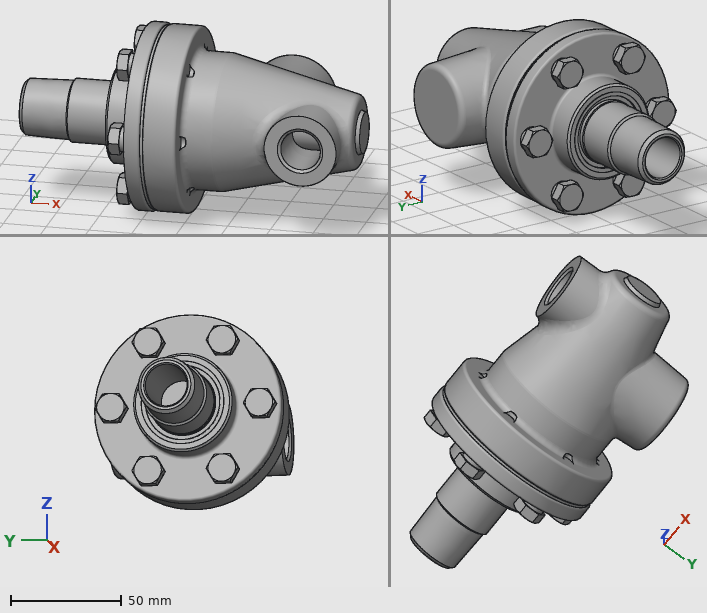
import cadquery as cq
import math


bore_radius = 19.3 / 2
bore_chamfer = 0.6
nipple_face_radius = 23.01 / 2
nipple_radius = 27.18 / 2
nipple_chamfer_length = 1.7
nipple_taper_end = 20.2
nipple_end = 22.4
pipe_taper = 1 / 32
sleeve_radius = 29.3 / 2
sleeve_start = 23.2
collar_radius = 30.12 / 2
collar_start = 42.0
collar_chamfer = collar_radius - sleeve_radius

hub_radius = 45.47 / 2
hub_start = 42.7
hub_chamfer = 1.0
hub_base_fillet = 1.4
seal_recess_radius = 34.32 / 2
seal_recess_depth = 1.8
seal_step_radius = 38.18 / 2
seal_step_depth = 0.3

flange_radius = 86.36 / 2
flange_front = 56.1
flange_rear = 63.6
flange_edge_round = 1.1
gasket_radius = 42.2
housing_flange_radius = 42.85
housing_flange_front = 64.9
housing_flange_rear = 80.4
housing_flange_edge_round = 1.4

neck_radius = 63.5 / 2
neck_fillet = 2.9
neck_end = 94.85
neck_cone_blend = 3.7
cone_slope = math.radians(13.5)
cone_end = 156.7
cone_end_round = 3.1
plug_base_radius = 10.2
plug_end_radius = 9.5
part_length = 158.6

bolt_count = 6
bolt_circle_radius = 34.29
bolt_head_across_flats = 12.7
bolt_head_start = 48.4
bolt_head_end = 53.5
bolt_head_chamfer_angle = math.radians(30)
bolt_collar_radius = 11.43 / 2
bolt_hole_radius = 6.4 / 2
bolt_hole_end = 82.4
drill_tip_angle = math.radians(118)

large_port_x = 116.0
large_port_end = 44.45
large_port_radius = 39.32 / 2
large_port_draft = math.radians(4)
large_port_end_round = 2.9
large_port_root_fillet = 2.2

small_port_x = 136.1
small_port_end = 31.75
small_port_radius = 33.6 / 2
small_port_root_fillet = 5.4
small_port_bore_radius = 17.5 / 2
small_port_rim_radius = 21.2 / 2
small_port_rim_depth = 1.0
small_port_thread_length = 16.0
inner_tube_radius = bore_radius


def turned(points):
    """Solid of revolution about X from an (x, radius) outline closed along the axis."""
    outline = [(points[0][0], 0)] + points
    if points[-1][1] > 0:
        outline.append((points[-1][0], 0))
    return cq.Workplane("XY").polyline(outline).close().revolve(360, (0, 0, 0), (1, 0, 0))


def disc(radius, start, end):
    return turned([(start, radius), (end, radius)])


def turned_about_y(points):
    """Solid of revolution about Y from a closed (radius, y) outline."""
    return cq.Workplane("XY").polyline(points).close().revolve(360, (0, 0, 0), (0, 1, 0))


def edges_at(x, radius):
    """Selector box catching only the full circle at the given x and radius about X."""
    gap = 0.05
    reach = radius + gap
    return cq.selectors.BoxSelector(
        (x - gap, -reach, -reach), (x + gap, reach, reach), boundingbox=True
    )


def make_rotor():
    chamfer_radius = nipple_radius - pipe_taper * (nipple_taper_end - nipple_chamfer_length)
    return turned([
        (0, nipple_face_radius),
        (nipple_chamfer_length, chamfer_radius),
        (nipple_taper_end, nipple_radius),
        (nipple_end, nipple_radius),
        (sleeve_start, sleeve_radius),
        (collar_start, sleeve_radius),
        (collar_start + collar_chamfer, collar_radius),
        (flange_front, collar_radius),
    ])


def make_rotor_bore():
    """Bore of the nipple, closed at the collar and chamfered at its mouth."""
    return turned([
        (0, bore_radius + bore_chamfer),
        (bore_chamfer, bore_radius),
        (collar_start, bore_radius),
    ])


def make_front_flange():
    plate = disc(flange_radius, flange_front, flange_rear).edges().fillet(flange_edge_round)
    hub = disc(hub_radius, hub_start, flange_front).faces("<X").chamfer(hub_chamfer)
    body = plate.union(hub)
    body = body.edges(edges_at(flange_front, hub_radius)).fillet(hub_base_fillet)
    step = disc(seal_step_radius, hub_start, hub_start + seal_step_depth)
    recess = disc(seal_recess_radius, hub_start, hub_start + seal_recess_depth)
    return body.cut(step).cut(recess)


def make_large_port():
    inner_radius = large_port_radius + large_port_end * math.tan(large_port_draft)
    boss = turned_about_y([
        (0, 0),
        (inner_radius, 0),
        (large_port_radius, large_port_end),
        (0, large_port_end),
    ])
    return boss.translate((large_port_x, 0, 0))


def make_small_port():
    face = cq.Workplane("XZ", origin=(small_port_x, -small_port_end, 0))
    return face.circle(small_port_radius).extrude(-small_port_end)


def cut_small_port(body):
    """Cut a chamfered, tapered bore that stops on the tube along the X axis."""
    thread_radius = small_port_bore_radius + pipe_taper * small_port_thread_length
    thread_end = small_port_rim_depth + small_port_thread_length
    bore = turned_about_y([
        (0, 0),
        (small_port_rim_radius, 0),
        (thread_radius, small_port_rim_depth),
        (small_port_bore_radius, thread_end),
        (small_port_bore_radius, small_port_end),
        (0, small_port_end),
    ])
    bore = bore.translate((small_port_x, -small_port_end, 0))
    return body.cut(bore.cut(disc(inner_tube_radius, neck_end, cone_end)))


def make_housing():
    end_radius = neck_radius - (cone_end - neck_end) * math.tan(cone_slope)
    flange = disc(housing_flange_radius, housing_flange_front, housing_flange_rear)
    flange = flange.edges().fillet(housing_flange_edge_round)
    neck_and_cone = turned([
        (housing_flange_front, neck_radius),
        (neck_end, neck_radius),
        (cone_end, end_radius),
    ])
    body = flange.union(neck_and_cone)
    body = body.edges(edges_at(housing_flange_rear, neck_radius)).fillet(neck_fillet)
    body = body.edges(edges_at(neck_end, neck_radius)).fillet(neck_cone_blend)
    return body.faces(">X").edges().fillet(cone_end_round)


def join_ports(body):
    """Add both ports and fillet the curves where they leave the housing."""
    box_margin = 1
    large_root = cq.selectors.BoxSelector(
        (neck_end, box_margin, -neck_radius),
        (large_port_x + neck_radius, large_port_end - box_margin, neck_radius),
        boundingbox=True,
    )
    small_root = cq.selectors.BoxSelector(
        (neck_end, box_margin - small_port_end, -neck_radius),
        (part_length, -box_margin, neck_radius),
        boundingbox=True,
    )
    body = body.union(make_large_port()).edges(large_root).fillet(large_port_root_fillet)
    body = body.faces(">Y").edges().fillet(large_port_end_round)
    body = body.union(make_small_port())
    return body.edges(small_root).fillet(small_port_root_fillet)


def make_plug():
    return turned([(cone_end, plug_base_radius), (part_length, plug_end_radius)])


def make_bolt_head():
    """Hexagon head about X with its front corners bevelled by a cone."""
    corner_diameter = bolt_head_across_flats / math.cos(math.pi / 6)
    height = bolt_head_end - bolt_head_start
    head = cq.Workplane("YZ", origin=(bolt_head_start, 0, 0)).polygon(6, corner_diameter).extrude(height)
    face_radius = bolt_head_across_flats / 2
    end_radius = face_radius + height / math.tan(bolt_head_chamfer_angle)
    return head.intersect(turned([(bolt_head_start, face_radius), (bolt_head_end, end_radius)]))


def bolt_places():
    for i in range(bolt_count):
        angle = 2 * math.pi * i / bolt_count
        yield (0, bolt_circle_radius * math.cos(angle), bolt_circle_radius * math.sin(angle))


def add_bolts(body):
    """Add the bolt heads, and cut the hole ends that run out through the neck fillet."""
    bolt = make_bolt_head().union(disc(bolt_collar_radius, bolt_head_end, flange_front))
    tip_end = bolt_hole_end + bolt_hole_radius / math.tan(drill_tip_angle / 2)
    hole = turned([
        (housing_flange_rear, bolt_hole_radius),
        (bolt_hole_end, bolt_hole_radius),
        (tip_end, 0),
    ])
    for place in bolt_places():
        body = body.union(bolt.translate(place)).cut(hole.translate(place))
    return body


housing = cut_small_port(join_ports(make_housing()).union(make_plug()))
gasket = disc(gasket_radius, flange_rear, housing_flange_front)
result = make_front_flange().union(make_rotor()).union(gasket).union(housing)
result = add_bolts(result).cut(make_rotor_bore())